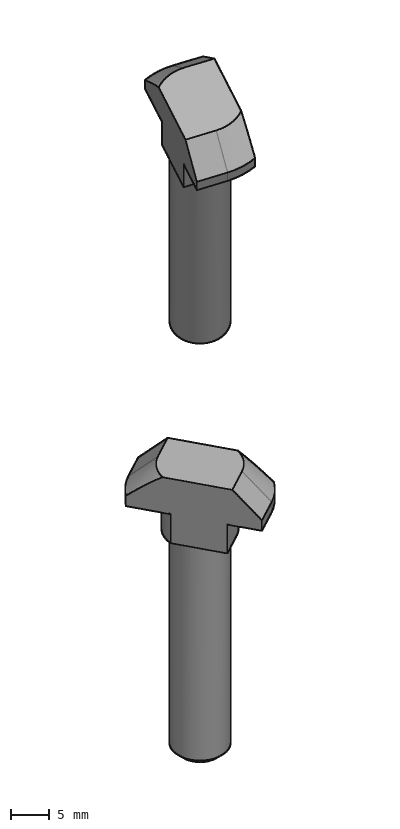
import cadquery as cq

total_length = 45.7
head_length = 19.4
head_width = 8.5

head_height = 5.7
head_chamfer = 4.0
neck_length = 10.05
neck_height = 4.6

shank_diameter = 8.0
tip_chamfer = 1.1

head_bottom = total_length - head_height
neck_bottom = head_bottom - neck_height
edge_top = total_length - head_chamfer

head_reach = head_length / 2
top_reach = head_reach - head_chamfer
neck_reach = neck_length / 2
half_width = head_width / 2


def half_profile():
    """Half outline of head and neck in the XZ plane, closed along the axis."""
    return (
        cq.Workplane("XZ")
        .moveTo(0, neck_bottom)
        .lineTo(neck_reach, neck_bottom)
        .lineTo(neck_reach, head_bottom)
        .lineTo(head_reach, head_bottom)
        .lineTo(head_reach, edge_top)
        .lineTo(top_reach, total_length)
        .lineTo(0, total_length)
        .close()
    )


def half_head():
    """The +X half: straight on the -Y side, turned about the axis on the +Y side."""
    square_side = half_profile().extrude(half_width)
    quarter_space = cq.Workplane("XY").box(
        head_reach, half_width, total_length, centered=False
    )
    turned = half_profile().revolve(360, (0, 0, 0), (0, 1, 0))
    return square_side.union(turned.intersect(quarter_space))


def shank():
    """Round shank with a chamfered tip, running up into the neck."""
    return (
        cq.Workplane("XY")
        .circle(shank_diameter / 2)
        .extrude(neck_bottom)
        .faces("<Z")
        .chamfer(tip_chamfer)
    )


right_half = half_head()
left_half = right_half.rotate((0, 0, 0), (0, 0, 1), 180)
result = right_half.union(left_half).union(shank())